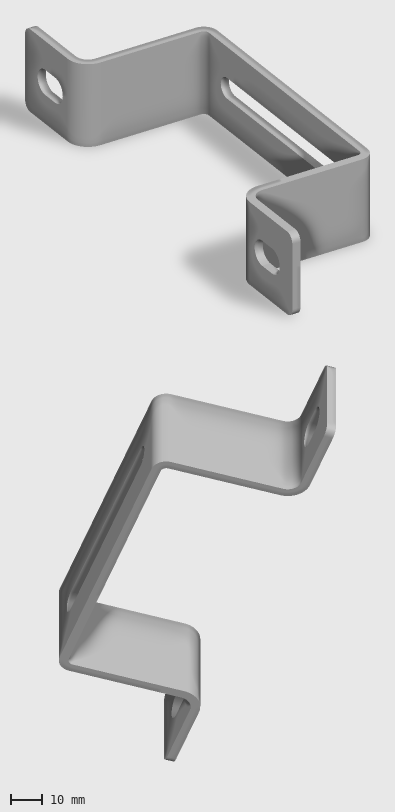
import cadquery as cq

length = 160.0
depth = 50.0
height = 30.0
thickness = 3.0

bridge_width = 100.0
bridge_bend_radius = 5.0
foot_bend_radius = 7.5

foot_corner_radius = 3.0
foot_slot_length = 15.0
foot_slot_width = 9.1
foot_slot_inset = 15.0

bridge_slot_length = 76.0
bridge_slot_width = 7.5

half_bridge = bridge_width / 2
inner_half_bridge = half_bridge - thickness


def block(width, y_size, y_front):
    """Full-height block centred on X, starting at y_front."""
    return cq.Workplane("XY").box(width, y_size, height, centered=(True, False, True)).translate((0, y_front, 0))


def vertical_edges_at(x, y):
    """Selector for the two Z-parallel edges at (+x, y) and (-x, y)."""
    margin = 0.2
    boxes = [
        cq.selectors.BoxSelector(
            (side * x - margin, y - margin, -height),
            (side * x + margin, y + margin, height),
        )
        for side in (-1, 1)
    ]
    return boxes[0] + boxes[1]


def bent_strip():
    """Hat-shaped strip: two feet at the front joined by a raised bridge."""
    feet = block(length, thickness, 0)
    hat = block(bridge_width, depth, 0)
    hollow = block(2 * inner_half_bridge, depth - thickness, 0)
    strip = feet.union(hat).cut(hollow)
    bends = [
        (half_bridge, depth, bridge_bend_radius),
        (inner_half_bridge, depth - thickness, bridge_bend_radius - thickness),
        (inner_half_bridge, 0, foot_bend_radius),
        (half_bridge, thickness, foot_bend_radius - thickness),
    ]
    for x, y, radius in bends:
        strip = strip.edges(vertical_edges_at(x, y)).fillet(radius)
    return strip


def slot_cutter(x_positions, slot_length, slot_width, y_middle):
    """Round-ended slots along X that pass through the sheet at y_middle."""
    return (
        cq.Workplane("XZ", origin=(0, y_middle, 0))
        .pushPoints([(x, 0) for x in x_positions])
        .slot2D(slot_length, slot_width)
        .extrude(thickness, both=True)
    )


foot_slot_x = length / 2 - foot_slot_inset
foot_slots = slot_cutter([-foot_slot_x, foot_slot_x], foot_slot_length, foot_slot_width, thickness / 2)
bridge_slot = slot_cutter([0], bridge_slot_length, bridge_slot_width, depth - thickness / 2)

rounded_strip = bent_strip().faces("<X or >X").edges("|Y").fillet(foot_corner_radius)
result = rounded_strip.cut(foot_slots).cut(bridge_slot)